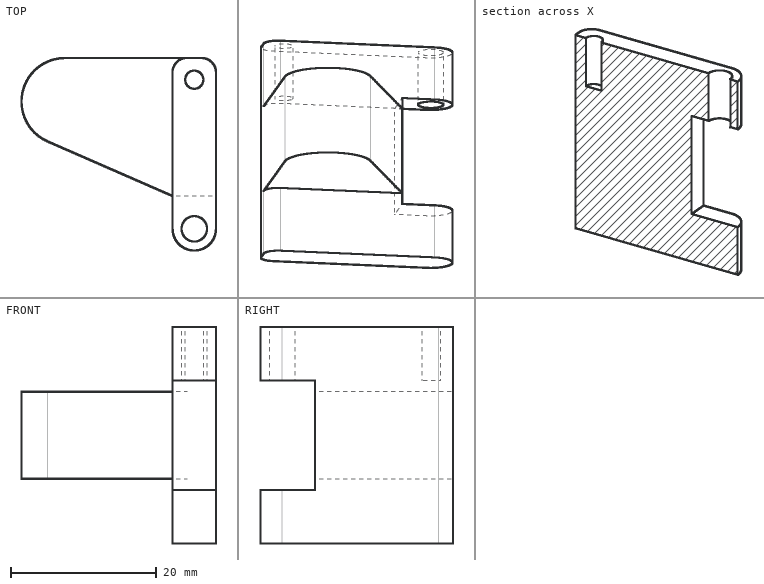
import cadquery as cq
import math

plate_thickness = 6.0
plate_length = 26.5
plate_height = 29.8
arm_radius = plate_thickness / 2
rear_corner_radius = 2.0
front_y = -arm_radius
rear_y = front_y + plate_length
plate_face_x = -plate_thickness / 2

gap_height = 15.0
gap_depth = 7.5
gap_floor_y = front_y + gap_depth

lever_height = 12.0
nose_radius = 6.0
overall_width = 26.77
nose_x = plate_thickness / 2 - overall_width + nose_radius
nose_y = rear_y - nose_radius

hinge_hole_diameter = 3.5
hinge_hole_depth = (plate_height - gap_height) / 2
rear_hole_diameter = 2.5
rear_hole_depth = hinge_hole_depth
rear_hole_margin = 3.0
rear_hole_y = rear_y - rear_hole_margin


def nose_point(angle):
    """Point on the nose circle at an angle in radians from +X."""
    return (nose_x + nose_radius * math.cos(angle), nose_y + nose_radius * math.sin(angle))


def make_plate():
    """Upright plate, fully rounded at the hinge end, with small rear corner rounds."""
    plate = (
        cq.Workplane("XY")
        .workplane(offset=-plate_height / 2)
        .moveTo(plate_face_x, 0)
        .threePointArc((0, front_y), (-plate_face_x, 0))
        .lineTo(-plate_face_x, rear_y)
        .lineTo(plate_face_x, rear_y)
        .close()
        .extrude(plate_height)
    )
    return plate.edges("|Z and >Y").fillet(rear_corner_radius)


def make_gap():
    """Rectangular cutter that splits the hinge end into two arms."""
    return (
        cq.Workplane("XY")
        .box(plate_thickness, gap_depth, gap_height)
        .translate((0, gap_floor_y - gap_depth / 2, 0))
    )


def make_lever():
    """Lever whose slanted side runs from the gap floor tangent to the nose."""
    run_x = plate_face_x - nose_x
    run_y = gap_floor_y - nose_y
    tangent_angle = math.atan2(run_y, run_x) - math.acos(nose_radius / math.hypot(run_x, run_y))
    return (
        cq.Workplane("XY")
        .workplane(offset=-lever_height / 2)
        .moveTo(0, gap_floor_y)
        .lineTo(plate_face_x, gap_floor_y)
        .lineTo(*nose_point(tangent_angle))
        .threePointArc(nose_point(math.pi), nose_point(math.pi / 2))
        .lineTo(0, rear_y)
        .close()
        .extrude(lever_height)
    )


def make_hole(y, diameter, depth):
    """Round hole cutter sunk from the top face."""
    return (
        cq.Workplane("XY")
        .workplane(offset=plate_height / 2 - depth)
        .center(0, y)
        .circle(diameter / 2)
        .extrude(depth)
    )


result = make_plate().cut(make_gap()).union(make_lever())
result = result.cut(make_hole(0, hinge_hole_diameter, hinge_hole_depth))
result = result.cut(make_hole(rear_hole_y, rear_hole_diameter, rear_hole_depth))